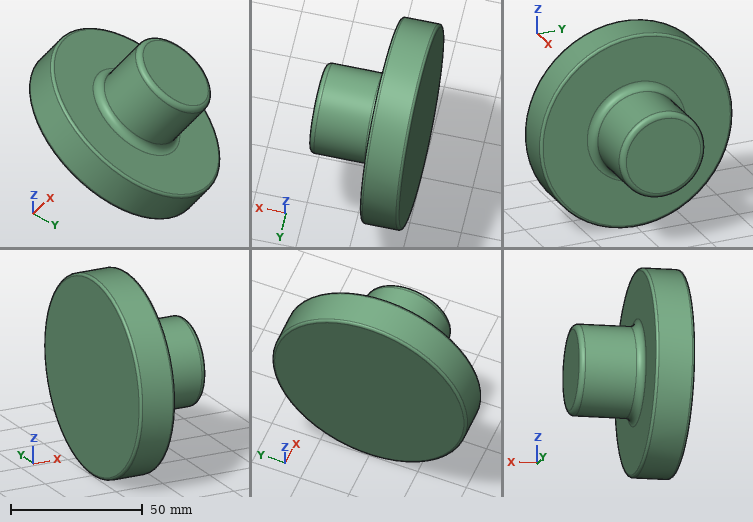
import cadquery as cq

total_length = 40.0
disc_diameter = 80.0
disc_thickness = 15.0
disc_edge_radius = 1.0
hub_diameter = 35.0
hub_root_radius = 3.0
hub_end_radius = 2.1


def cylinder_along_x(diameter, length):
    """Solid cylinder starting at X = 0."""
    return cq.Workplane("YZ").circle(diameter / 2).extrude(length)


disc = cylinder_along_x(disc_diameter, disc_thickness)
disc = disc.faces("<X or >X").edges().fillet(disc_edge_radius)

hub = cylinder_along_x(hub_diameter, total_length)
hub = hub.faces(">X").edges().fillet(hub_end_radius)

root_half_size = hub_diameter / 2 + hub_root_radius
root_selector = cq.selectors.BoxSelector(
    (disc_thickness - hub_root_radius / 2, -root_half_size, -root_half_size),
    (disc_thickness + hub_root_radius / 2, root_half_size, root_half_size),
    boundingbox=True,
)
result = disc.union(hub).edges(root_selector).fillet(hub_root_radius)